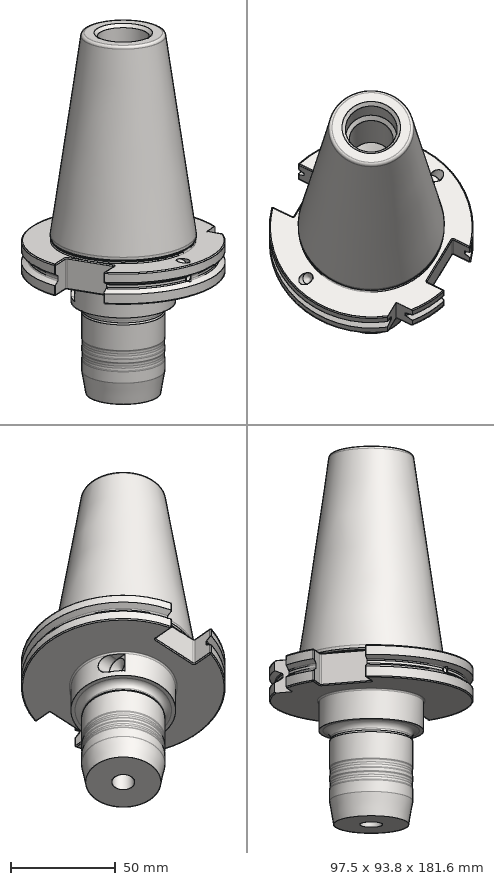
import cadquery as cq
import math

TOTAL_LENGTH = 181.6
NOSE_TOP = 11.5
NECK_TOP = 46.1
FLANGE_BOTTOM = 60.8
FLANGE_TOP = 76.8
GAUGE_PLANE = 80.0

TAPER_RATIO = 7 / 24
GAUGE_RADIUS = 70.0 / 2
TAPER_TOP_RADIUS = GAUGE_RADIUS - (TOTAL_LENGTH - GAUGE_PLANE) * TAPER_RATIO / 2
TAPER_TOP_FILLET = 1.6
TAPER_FOOT_RADIUS = 34.3
TAPER_LAND_BOTTOM = 78.6
TAPER_FOOT_TOP = 77.9
TAPER_FOOT_FILLET = 0.5

NOSE_RADIUS = 18.0
NECK_RADIUS = 20.0
COLLAR_RADIUS = 25.0
COLLAR_FILLET = 0.7
RELIEF_RADIUS = 19.6
RELIEF_FILLET = 3.5
RELIEF_HEIGHT = 0.9
RELIEF_TAPER_HEIGHT = 0.9

RING_CENTERS = (19.5, 25.6)
RING_WIDTH = 4.5
RING_STEP_WIDTH = 3.6
RING_STEP_DEPTH = 0.15
RING_DEPTH = 0.25
RING_STEP_RADIUS = NECK_RADIUS - RING_STEP_DEPTH
RING_FLOOR_WIDTH = 1.0
RING_FLOOR_RADIUS = NECK_RADIUS - RING_DEPTH

FLANGE_RADIUS = 97.5 / 2
FLANGE_CHAMFER = 0.5
GROOVE_CENTER = 69.0
GROOVE_FLOOR_RADIUS = 45.5
GROOVE_WIDTH = 5.8
GROOVE_FLANK_ANGLE = 30.0
GROOVE_FILLET = 0.7

SLOT_WIDTH = 25.8
SLOT_FILLET = 0.5
FRONT_SLOT_FLOOR = 35.5
BACK_SLOT_FLOOR = 37.2
NOTCH_CORNER = 29.8

COOLANT_ANGLE = 160
COOLANT_PITCH_RADIUS = 41.8
COOLANT_RADIUS = 5.6 / 2
COOLANT_TILT = 40.0
COOLANT_DEPTH = 2.4
GROOVE_HOLE_RADIUS = 1.6
GROOVE_HOLE_DEPTH = 0.5

SCREW_RADIUS = 10.7 / 2
SCREW_Y = -12.9
SCREW_Z = 54.5
SCREW_SEAT_X = -16.7

PILOT_RADIUS = 12.3
PILOT_CHAMFER = 1.6
PILOT_DEPTH = 11.3
PILOT_CONE_DEPTH = 2.0
THREAD_RADIUS = 10.5
THREAD_DEPTH = 36.3
THROUGH_RADIUS = 5.5

DRILL_TIP_ANGLE = 118.0


def make_body():
    """Revolved body without the flange: nose, neck, collar and taper."""
    relief_top = NECK_TOP - RELIEF_FILLET
    relief_bottom = relief_top - RELIEF_HEIGHT
    collar_corner = COLLAR_FILLET * (1 - math.sqrt(0.5))
    foot_radius = TAPER_FOOT_RADIUS + TAPER_FOOT_FILLET
    foot_corner = TAPER_FOOT_FILLET * (1 - math.sqrt(0.5))
    relief_corner = RELIEF_FILLET * (1 - math.sqrt(0.5))
    profile = (
        cq.Workplane("XZ")
        .lineTo(NOSE_RADIUS, 0)
        .lineTo(NECK_RADIUS, NOSE_TOP)
        .lineTo(NECK_RADIUS, relief_bottom - RELIEF_TAPER_HEIGHT)
        .lineTo(RELIEF_RADIUS, relief_bottom)
        .lineTo(RELIEF_RADIUS, relief_top)
        .threePointArc(
            (RELIEF_RADIUS + relief_corner, NECK_TOP - relief_corner),
            (RELIEF_RADIUS + RELIEF_FILLET, NECK_TOP),
        )
        .lineTo(COLLAR_RADIUS, NECK_TOP)
        .lineTo(COLLAR_RADIUS, FLANGE_BOTTOM - COLLAR_FILLET)
        .threePointArc(
            (COLLAR_RADIUS + collar_corner, FLANGE_BOTTOM - collar_corner),
            (COLLAR_RADIUS + COLLAR_FILLET, FLANGE_BOTTOM),
        )
        .lineTo(foot_radius, FLANGE_BOTTOM)
        .lineTo(foot_radius, FLANGE_TOP)
        .threePointArc(
            (TAPER_FOOT_RADIUS + foot_corner, FLANGE_TOP + foot_corner),
            (TAPER_FOOT_RADIUS, FLANGE_TOP + TAPER_FOOT_FILLET),
        )
        .lineTo(TAPER_FOOT_RADIUS, TAPER_FOOT_TOP)
        .lineTo(GAUGE_RADIUS, TAPER_LAND_BOTTOM)
        .lineTo(GAUGE_RADIUS, GAUGE_PLANE)
        .lineTo(TAPER_TOP_RADIUS, TOTAL_LENGTH)
        .lineTo(0, TOTAL_LENGTH)
        .close()
    )
    body = profile.revolve(360, (0, 0, 0), (0, 1, 0))
    return body.faces(">Z").edges().fillet(TAPER_TOP_FILLET)


def ring_groove(center_z, outer_radius, floor_radius, width, floor_width):
    """Solid ring with a trapezoid section, for cutting a groove around the Z axis."""
    return (
        cq.Workplane("XZ")
        .moveTo(floor_radius, center_z - floor_width / 2)
        .lineTo(outer_radius, center_z - width / 2)
        .lineTo(outer_radius, center_z + width / 2)
        .lineTo(floor_radius, center_z + floor_width / 2)
        .close()
        .revolve(360, (0, 0, 0), (0, 1, 0))
    )


def slot_cutter(floor_y, side):
    """Block that cuts one drive slot; side is +1 for +Y and -1 for -Y."""
    length = FLANGE_RADIUS
    block = cq.Workplane("XY").box(SLOT_WIDTH, length, TOTAL_LENGTH).edges("|Z").fillet(SLOT_FILLET)
    return block.translate((0, side * (floor_y + length / 2), FLANGE_BOTTOM))


def make_flange():
    """Flange disc with chamfered drive slots, orientation notch and gripper groove."""
    thickness = FLANGE_TOP - FLANGE_BOTTOM
    flange = cq.Workplane("XY").workplane(offset=FLANGE_BOTTOM).circle(FLANGE_RADIUS).extrude(thickness)
    for side, floor_y in ((1, BACK_SLOT_FLOOR), (-1, FRONT_SLOT_FLOOR)):
        mouth = cq.selectors.BoxSelector(
            (-SLOT_WIDTH, side * (floor_y + FLANGE_RADIUS) / 2, 0),
            (SLOT_WIDTH, side * FLANGE_RADIUS, TOTAL_LENGTH),
        )
        flange = flange.cut(slot_cutter(floor_y, side)).edges("|Z").edges(mouth).chamfer(FLANGE_CHAMFER)
    flange = flange.faces("<Z or >Z").edges().chamfer(FLANGE_CHAMFER)

    notch = (
        cq.Workplane("XY")
        .rect(FLANGE_RADIUS, FLANGE_RADIUS, centered=False)
        .extrude(TOTAL_LENGTH)
        .translate((NOTCH_CORNER, NOTCH_CORNER, 0))
    )
    flank_height = (FLANGE_RADIUS - GROOVE_FLOOR_RADIUS) * math.tan(math.radians(GROOVE_FLANK_ANGLE))
    gripper_groove = ring_groove(
        GROOVE_CENTER, FLANGE_RADIUS, GROOVE_FLOOR_RADIUS, GROOVE_WIDTH, GROOVE_WIDTH - 2 * flank_height
    )
    floor_edges = cq.selectors.RadiusNthSelector(0)
    gripper_groove = gripper_groove.edges(floor_edges).fillet(GROOVE_FILLET)
    return flange.cut(notch).cut(gripper_groove)


def drill(radius, depth, entry, direction):
    """Blind drilled hole with a conical end; it reaches one radius back out past its entry point."""
    axis = direction.normalized()
    start = entry - axis * radius
    shoulder = entry + axis * depth
    tip_depth = radius / math.tan(math.radians(DRILL_TIP_ANGLE / 2))
    shank = cq.Solid.makeCylinder(radius, depth + radius, start, axis)
    tip = cq.Solid.makeCone(radius, 0, tip_depth, shoulder, axis)
    return shank.fuse(tip)


def coolant_cutter(angle):
    """Hole sloping inward from the flange face, with a small radial hole in the groove floor below it."""
    tilt = math.radians(COOLANT_TILT)
    sloped = drill(
        COOLANT_RADIUS,
        COOLANT_DEPTH,
        cq.Vector(COOLANT_PITCH_RADIUS, 0, FLANGE_TOP),
        cq.Vector(-math.sin(tilt), 0, -math.cos(tilt)),
    )
    radial = drill(
        GROOVE_HOLE_RADIUS,
        GROOVE_HOLE_DEPTH,
        cq.Vector(GROOVE_FLOOR_RADIUS, 0, GROOVE_CENTER),
        cq.Vector(-1, 0, 0),
    )
    return cq.Workplane(obj=sloped.fuse(radial)).rotate((0, 0, 0), (0, 0, 1), angle)


def screw_pocket():
    """Clamping screw hole along X with a conical end, opened out toward -Y."""
    length = COLLAR_RADIUS + SCREW_SEAT_X
    entry = cq.Vector(-COLLAR_RADIUS, SCREW_Y, SCREW_Z)
    hole = drill(SCREW_RADIUS, length, entry, cq.Vector(1, 0, 0))
    opening = cq.Solid.makeBox(
        length,
        COLLAR_RADIUS,
        2 * SCREW_RADIUS,
        cq.Vector(-COLLAR_RADIUS, SCREW_Y - COLLAR_RADIUS, SCREW_Z - SCREW_RADIUS),
    )
    return cq.Workplane(obj=hole.fuse(opening))


def central_bore():
    """Chamfered pilot bore, thread core hole with a conical end, and through hole."""
    pilot_floor = TOTAL_LENGTH - PILOT_DEPTH
    thread_floor = TOTAL_LENGTH - THREAD_DEPTH
    cone_depth = (THREAD_RADIUS - THROUGH_RADIUS) / math.tan(math.radians(DRILL_TIP_ANGLE / 2))
    return (
        cq.Workplane("XZ")
        .lineTo(THROUGH_RADIUS, 0)
        .lineTo(THROUGH_RADIUS, thread_floor - cone_depth)
        .lineTo(THREAD_RADIUS, thread_floor)
        .lineTo(THREAD_RADIUS, pilot_floor - PILOT_CONE_DEPTH)
        .lineTo(PILOT_RADIUS, pilot_floor)
        .lineTo(PILOT_RADIUS, TOTAL_LENGTH - PILOT_CHAMFER)
        .lineTo(PILOT_RADIUS + PILOT_CHAMFER, TOTAL_LENGTH)
        .lineTo(0, TOTAL_LENGTH)
        .close()
        .revolve(360, (0, 0, 0), (0, 1, 0))
    )


result = make_body().union(make_flange())
for ring_center in RING_CENTERS:
    result = result.cut(ring_groove(ring_center, NECK_RADIUS, RING_STEP_RADIUS, RING_WIDTH, RING_STEP_WIDTH))
    result = result.cut(
        ring_groove(ring_center, RING_STEP_RADIUS, RING_FLOOR_RADIUS, RING_STEP_WIDTH, RING_FLOOR_WIDTH)
    )
for hole_angle in (COOLANT_ANGLE, COOLANT_ANGLE + 180):
    result = result.cut(coolant_cutter(hole_angle))
result = result.cut(screw_pocket()).cut(central_bore())